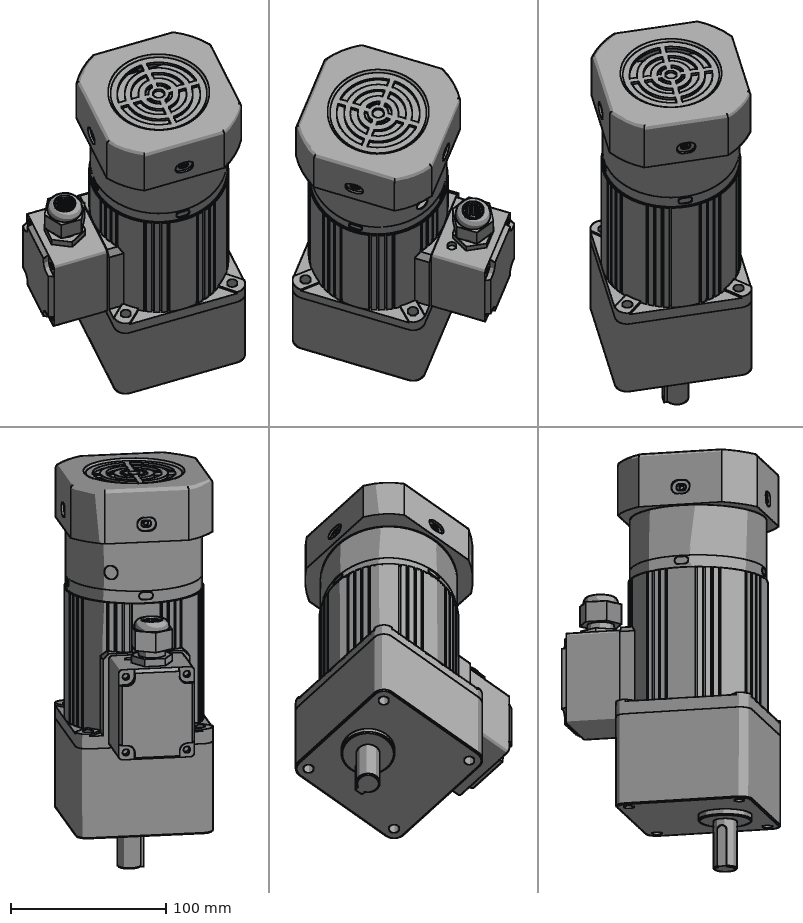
import cadquery as cq
import math

BOSS_BOTTOM = 32.0
GEARBOX_BOTTOM = 36.0
GEARBOX_TOP = 96.0
FLANGE_TOP = 104.3
CORNER_PAD_TOP = 105.5
HOUSING_TOP = 191.0
SPIGOT_TOP = 199.0
SHELL_TOP = 232.4
COVER_TOP = 268.0

FRAME_SIZE = 90.0
FRAME_HALF = FRAME_SIZE / 2
FRAME_CORNER_RADIUS = 8.0
GEARBOX_BOTTOM_CHAMFER = 0.8
MOUNT_HOLE_OFFSET = 36.7
MOUNT_HOLE_DIAMETER = 6.7

OUTPUT_Y = 18.0
BOSS_DIAMETER = 34.5
BOSS_CHAMFER = 0.8
SHAFT_DIAMETER = 15.3
SHAFT_CHAMFER = 0.8
KEY_WIDTH = 6.0
KEY_REACH = 9.0
KEY_TOP = 27.3

GROOVE_CLUSTERS = 8
GROOVES_PER_CLUSTER = 4
GROOVE_SPACING_ANGLE = 6.5
GROOVE_WIDTH = 1.3
GROOVE_DEPTH = 1.5

SEAT_WIDTH = 56.8
SEAT_TOP = 158.7
SEAT_CORNER = 3.8

SHELL_DIAMETER = 88.5
SHELL_WALL = 0.5
SHELL_BORE = SHELL_DIAMETER - 2 * SHELL_WALL
CABLE_HOLE_DIAMETER = 9.0
CABLE_HOLE_ANGLE = 30
CABLE_HOLE_LEVEL = 211.0
WINDOW_LENGTH = 9.0
WINDOW_HEIGHT = 4.8
WINDOW_LEVEL = 196.0

COVER_SIZE = 93.0
COVER_HALF = COVER_SIZE / 2
COVER_FLAT_HALF = 27.5
COVER_EDGE_RADIUS = 3.2
COVER_WALL = 4.3
COVER_ROOF = 1.0
FAN_CAVITY_FLOOR = 242.5
GRILLE_DISH_RADIUS = 35.0
GRILLE_RECESS_RADIUS = 32.7
GRILLE_RADIUS = 31.0
GRILLE_RECESS_DEPTH = 1.3
GRILLE_THICKNESS = 2.0
GRILLE_BAR_WIDTH = 3.8
GRILLE_CENTRE_HOLE_RADIUS = 3.8
GRILLE_SLOT_RADII = [(6.7, 8.8), (13.0, 18.0), (22.0, 26.8)]
SCREW_LEVEL = 244.1
SCREW_HOLE_DIAMETER = 3.0
SCREW_SLOT_LENGTH = 6.5
SCREW_SLOT_HEIGHT = 4.5
SCREW_SLOT_DEPTH = 1.3
SCREW_RECESS_LENGTH = 12.3
SCREW_RECESS_HEIGHT = 9.0
SCREW_RECESS_DEPTH = 1.5

BOX_WIDTH = 49.5
BOX_BOTTOM = 97.3
BOX_TOP = 157.3
BOX_FRONT = -85.1
BOX_EDGE_RADIUS = 2.7
LID_THICKNESS = 3.5
LID_CHAMFER = 2.0
LID_SCREW_INSET = 4.8
LID_POCKET_RADIUS = 5.4
POCKET_SIZE = 21.5
LID_SCREW_DIAMETER = 4.3
LID_SCREW_DEPTH = 4.0
VENT_X = -12.9
VENT_Y = -55.0
VENT_DIAMETER = 6.0
VENT_DEPTH = 4.0

GLAND_Y = -64.9
LOCKNUT_ACROSS_FLATS = 23.3
LOCKNUT_TOP = 162.1
NECK_DIAMETER = 17.5
CAP_NUT_BOTTOM = 167.0
CAP_NUT_TOP = 180.0
CAP_NUT_ACROSS_FLATS = 24.0
DOME_DIAMETER = 22.5
DOME_TOP = 185.7
DOME_RADIUS = 4.3
GLAND_MOUTH_DIAMETER = DOME_DIAMETER - 2 * DOME_RADIUS
GLAND_MOUTH_DEPTH = 1.3
CLAMP_SLITS = 12
CLAMP_SLIT_WIDTH = 1.3
CLAMP_OUTER_DIAMETER = 12.9
GLAND_BORE_DIAMETER = 9.6
GLAND_BORE_DEPTH = 13.5


def cylinder(diameter, bottom, top):
    """Upright cylinder on the motor axis."""
    return cq.Workplane("XY").workplane(offset=bottom).circle(diameter / 2).extrude(top - bottom)


def block(width, depth, bottom, top):
    """Upright rectangular block centred on the motor axis."""
    return cq.Workplane("XY").workplane(offset=bottom).rect(width, depth).extrude(top - bottom)


def frame_block(bottom, top):
    """Square block with rounded corners, as shared by the gearbox and the motor flange."""
    return block(FRAME_SIZE, FRAME_SIZE, bottom, top).edges("|Z").fillet(FRAME_CORNER_RADIUS)


def mount_holes():
    """Four mounting holes that pass through the gearbox and the motor flange."""
    return (
        cq.Workplane("XY")
        .workplane(offset=GEARBOX_BOTTOM)
        .rect(2 * MOUNT_HOLE_OFFSET, 2 * MOUNT_HOLE_OFFSET, forConstruction=True)
        .vertices()
        .circle(MOUNT_HOLE_DIAMETER / 2)
        .extrude(CORNER_PAD_TOP - GEARBOX_BOTTOM)
    )


def cross_slot(length, height, level, start, end):
    """Horizontal oblong prism running along -Y between two distances from the motor axis."""
    return (
        cq.Workplane("XZ")
        .workplane(offset=start)
        .center(0, level)
        .slot2D(length, height)
        .extrude(end - start)
    )


def around_axis(shape, angle):
    return shape.rotate((0, 0, 0), (0, 0, 1), angle)


def make_gearbox():
    gearbox = frame_block(GEARBOX_BOTTOM, GEARBOX_TOP).faces("<Z").chamfer(GEARBOX_BOTTOM_CHAMFER)
    boss = cylinder(BOSS_DIAMETER, BOSS_BOTTOM, GEARBOX_BOTTOM).faces("<Z").chamfer(BOSS_CHAMFER)
    boss = boss.translate((0, OUTPUT_Y, 0))
    return gearbox.union(boss).cut(mount_holes())


def make_shaft():
    """Output shaft with its key, which has a round upper end."""
    shaft = cylinder(SHAFT_DIAMETER, 0, BOSS_BOTTOM).faces("<Z").chamfer(SHAFT_CHAMFER)
    half_width = KEY_WIDTH / 2
    key = (
        cq.Workplane("YZ")
        .moveTo(-half_width, 0)
        .lineTo(half_width, 0)
        .lineTo(half_width, KEY_TOP - half_width)
        .threePointArc((0, KEY_TOP), (-half_width, KEY_TOP - half_width))
        .close()
        .extrude(KEY_REACH)
    )
    return shaft.union(key).translate((0, OUTPUT_Y, 0))


def cooling_grooves():
    """Clusters of narrow vertical grooves spread evenly round the housing."""
    length = HOUSING_TOP - FLANGE_TOP
    groove = cq.Workplane("XY").box(2 * GROOVE_DEPTH, GROOVE_WIDTH, length, centered=(True, True, False))
    groove = groove.translate((FRAME_HALF, 0, FLANGE_TOP))
    cluster_angle = 360 / GROOVE_CLUSTERS
    grooves = []
    for cluster in range(GROOVE_CLUSTERS):
        for index in range(GROOVES_PER_CLUSTER):
            offset = (index - (GROOVES_PER_CLUSTER - 1) / 2) * GROOVE_SPACING_ANGLE
            angle = (cluster + 0.5) * cluster_angle + offset
            grooves.append(around_axis(groove, angle).val())
    return cq.Workplane(cq.Compound.makeCompound(grooves))


def corner_pads():
    """Raised pads on the flange corners, as wide as the corner rounding."""
    strip_width = FRAME_CORNER_RADIUS * math.sqrt(2)
    strip_length = 2 * FRAME_SIZE
    strip = block(strip_length, strip_width, FLANGE_TOP, CORNER_PAD_TOP)
    cross = around_axis(strip, 45).union(around_axis(strip, -45))
    return frame_block(FLANGE_TOP, CORNER_PAD_TOP).intersect(cross)


def box_seat():
    """Flat-fronted seat between the motor barrel and the terminal box."""
    return (
        cq.Workplane("XZ")
        .center(0, GEARBOX_TOP)
        .rect(SEAT_WIDTH, 2 * (SEAT_TOP - GEARBOX_TOP))
        .extrude(FRAME_HALF)
        .edges("|Y and >Z")
        .chamfer(SEAT_CORNER)
        .intersect(block(FRAME_SIZE, FRAME_SIZE, GEARBOX_TOP, SEAT_TOP))
    )


def make_motor_housing():
    barrel = cylinder(FRAME_SIZE, FLANGE_TOP, HOUSING_TOP).cut(cooling_grooves())
    flange = frame_block(GEARBOX_TOP, FLANGE_TOP).union(corner_pads())
    spigot = cylinder(SHELL_BORE, HOUSING_TOP, SPIGOT_TOP)
    return barrel.union(spigot).union(flange).union(box_seat()).cut(mount_holes())


def make_rear_shell():
    """Tube with a cable hole and four oblong windows over the spigot."""
    shell = cylinder(SHELL_DIAMETER, HOUSING_TOP, SHELL_TOP).cut(cylinder(SHELL_BORE, HOUSING_TOP, SHELL_TOP))
    cable_hole = (
        cq.Workplane("XZ").center(0, CABLE_HOLE_LEVEL).circle(CABLE_HOLE_DIAMETER / 2).extrude(SHELL_DIAMETER)
    )
    shell = shell.cut(around_axis(cable_hole, -CABLE_HOLE_ANGLE))
    window = cross_slot(WINDOW_LENGTH, WINDOW_HEIGHT, WINDOW_LEVEL, 0, SHELL_DIAMETER)
    for side in range(4):
        shell = shell.cut(around_axis(window, 90 * side))
    return shell


def cover_prism(inset, bottom, top):
    """Square prism whose corners are arcs centred on the motor axis, drawn in from the cover's outside."""
    corner_radius = math.hypot(COVER_HALF, COVER_FLAT_HALF) - inset
    size = COVER_SIZE - 2 * inset
    return block(size, size, bottom, top).intersect(cylinder(2 * corner_radius, bottom, top))


def fan_cavity():
    """Space inside the cover, lower below the thick dish that holds the grille."""
    cavity = cover_prism(COVER_WALL, FAN_CAVITY_FLOOR, COVER_TOP - COVER_ROOF)
    dish_bottom = COVER_TOP - GRILLE_RECESS_DEPTH - GRILLE_THICKNESS
    return cavity.cut(cylinder(2 * GRILLE_DISH_RADIUS, dish_bottom, COVER_TOP))


def grille_openings():
    """Conical recess, rings of slots split by two crossing bars, and a centre hole."""
    grille_top = COVER_TOP - GRILLE_RECESS_DEPTH
    recess = (
        cq.Workplane("XY")
        .workplane(offset=grille_top)
        .circle(GRILLE_RADIUS)
        .workplane(offset=GRILLE_RECESS_DEPTH)
        .circle(GRILLE_RECESS_RADIUS)
        .loft()
    )
    grille_bottom = grille_top - GRILLE_THICKNESS
    bar = block(COVER_SIZE, GRILLE_BAR_WIDTH, grille_bottom, grille_top)
    openings = recess.union(cylinder(2 * GRILLE_CENTRE_HOLE_RADIUS, grille_bottom, grille_top))
    for inner, outer in GRILLE_SLOT_RADII:
        ring = cylinder(2 * outer, grille_bottom, grille_top).cut(
            cylinder(2 * inner, grille_bottom, grille_top)
        )
        openings = openings.union(ring.cut(bar).cut(around_axis(bar, 90)))
    return openings


def screw_opening():
    """Oblong recess in a cover side, stepped down to a small round hole that reaches the axis."""
    recess_floor = COVER_HALF - SCREW_RECESS_DEPTH
    slot_floor = recess_floor - SCREW_SLOT_DEPTH
    hole = cq.Workplane("XZ").center(0, SCREW_LEVEL).circle(SCREW_HOLE_DIAMETER / 2).extrude(COVER_HALF)
    slot = cross_slot(SCREW_SLOT_LENGTH, SCREW_SLOT_HEIGHT, SCREW_LEVEL, slot_floor, COVER_HALF)
    recess = cross_slot(SCREW_RECESS_LENGTH, SCREW_RECESS_HEIGHT, SCREW_LEVEL, recess_floor, COVER_HALF)
    return hole.union(slot).union(recess)


def make_fan_cover():
    cover = cover_prism(0, SHELL_TOP, COVER_TOP).faces(">Z").edges().fillet(COVER_EDGE_RADIUS)
    cover = cover.cut(fan_cavity()).cut(grille_openings())
    for side in range(4):
        cover = cover.cut(around_axis(screw_opening(), 90 * side))
    return cover


def lid_pockets_and_screws():
    """Corner pockets in the lid face, each rounded about the screw hole in its floor.

    Each pocket reaches past the sides of the box, so only its inner corner shapes the lid.
    """
    screw_x = BOX_WIDTH / 2 - LID_SCREW_INSET
    floor_distance = -BOX_FRONT - LID_THICKNESS
    floor = cq.Workplane("XZ").workplane(offset=floor_distance)
    cuts = cq.Workplane("XZ")
    for x_sign in (-1, 1):
        for z, z_sign in ((BOX_BOTTOM + LID_SCREW_INSET, -1), (BOX_TOP - LID_SCREW_INSET, 1)):
            pocket_centre = (
                x_sign * (screw_x + POCKET_SIZE / 2 - LID_POCKET_RADIUS),
                z + z_sign * (POCKET_SIZE / 2 - LID_POCKET_RADIUS),
            )
            pocket = (
                floor.center(*pocket_centre)
                .rect(POCKET_SIZE, POCKET_SIZE)
                .extrude(LID_THICKNESS)
                .edges("|Y")
                .fillet(LID_POCKET_RADIUS)
            )
            hole_centre = (x_sign * screw_x, z)
            hole = floor.center(*hole_centre).circle(LID_SCREW_DIAMETER / 2).extrude(-LID_SCREW_DEPTH)
            cuts = cuts.union(pocket).union(hole)
    return cuts


def make_terminal_box():
    box = (
        cq.Workplane("XZ")
        .workplane(offset=FRAME_HALF)
        .center(0, (BOX_BOTTOM + BOX_TOP) / 2)
        .rect(BOX_WIDTH, BOX_TOP - BOX_BOTTOM)
        .extrude(-BOX_FRONT - FRAME_HALF)
        .edges("|Y")
        .fillet(BOX_EDGE_RADIUS)
        .faces("<Y")
        .chamfer(LID_THICKNESS, LID_CHAMFER)
        .cut(lid_pockets_and_screws())
    )
    vent = (
        cq.Workplane("XY")
        .workplane(offset=BOX_TOP)
        .center(VENT_X, VENT_Y)
        .circle(VENT_DIAMETER / 2)
        .extrude(-VENT_DEPTH)
    )
    return box.cut(vent)


def hexagon(across_flats, bottom, top):
    """Hexagonal prism with two of its corners along X."""
    across_corners = 2 * across_flats / math.sqrt(3)
    return cq.Workplane("XY").workplane(offset=bottom).polygon(6, across_corners).extrude(top - bottom)


def clamp_slits():
    """Radial slits that divide the cable clamp inside the dome into fingers."""
    bottom = DOME_TOP - GLAND_BORE_DEPTH
    slits = cylinder(GLAND_BORE_DIAMETER, bottom, DOME_TOP)
    bar = block(CLAMP_OUTER_DIAMETER, CLAMP_SLIT_WIDTH, bottom, DOME_TOP)
    for index in range(CLAMP_SLITS // 2):
        slits = slits.union(around_axis(bar, index * 360 / CLAMP_SLITS))
    return slits.intersect(cylinder(CLAMP_OUTER_DIAMETER, bottom, DOME_TOP))


def make_cable_gland():
    locknut = hexagon(LOCKNUT_ACROSS_FLATS, BOX_TOP, LOCKNUT_TOP)
    neck = cylinder(NECK_DIAMETER, LOCKNUT_TOP, CAP_NUT_BOTTOM)
    cap_nut = around_axis(hexagon(CAP_NUT_ACROSS_FLATS, CAP_NUT_BOTTOM, CAP_NUT_TOP), 90)
    dome = cylinder(DOME_DIAMETER, CAP_NUT_TOP, DOME_TOP).faces(">Z").edges().fillet(DOME_RADIUS)
    mouth = (
        cq.Workplane("XY")
        .workplane(offset=DOME_TOP)
        .circle(GLAND_MOUTH_DIAMETER / 2)
        .workplane(offset=-GLAND_MOUTH_DEPTH)
        .circle(CLAMP_OUTER_DIAMETER / 2)
        .loft()
    )
    bore = cylinder(GLAND_BORE_DIAMETER, DOME_TOP - GLAND_BORE_DEPTH, DOME_TOP)
    gland = locknut.union(neck).union(cap_nut).union(dome).cut(mouth).cut(bore).cut(clamp_slits())
    return gland.translate((0, GLAND_Y, 0))


gearbox = make_gearbox()
shaft = make_shaft()
motor_housing = make_motor_housing()
rear_shell = make_rear_shell()
fan_cover = make_fan_cover()
terminal_box = make_terminal_box()
cable_gland = make_cable_gland()

bodies = [gearbox, shaft, motor_housing, rear_shell, fan_cover, terminal_box, cable_gland]
result = cq.Compound.makeCompound([body.val() for body in bodies])